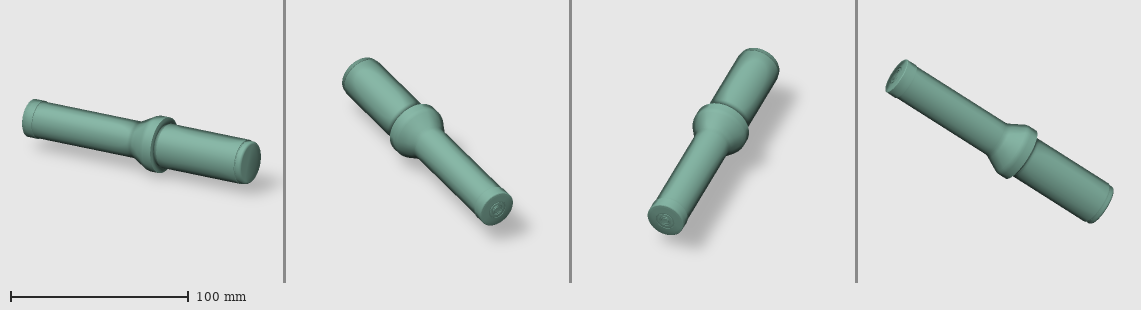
import cadquery as cq
import math

LENGTH = 143.0
RIM_START = 0.3
RIM_END = 0.5
HEAD_SIDE_START = 0.7
HEAD_LENGTH = 6.9
FLARE_START = 69.0
FLANGE_START = 82.2
FLANGE_END = 86.8
NECK_CONE_START = 87.1
NECK_CONE_END = 88.0
BARREL_START = 88.8
BARREL_END = 139.1
END_GROOVE_START = 139.6
END_GROOVE_END = 140.0
END_ROUND = 1.3

RIM_INNER_DIAMETER = 18.7
RIM_OUTER_DIAMETER = 21.0
HEAD_FRONT_DIAMETER = 21.7
HEAD_DIAMETER = 21.9
STEM_DIAMETER = 21.0
FLANGE_DIAMETER = 32.0
NECK_DIAMETER = 24.0
COLLAR_DIAMETER = 24.5
BARREL_DIAMETER = 25.5
END_GROOVE_DIAMETER = 24.2

FACE_GROOVES = [(11.2, 9.5), (6.9, 5.6), (4.7, 3.7)]
FACE_GROOVE_FLOOR = 0.5
DIMPLE_DIAMETER = 3.5
DIMPLE_DEPTH = 0.1

FLARE_ANGLE = math.radians(27.5)
flare_length = FLANGE_START - FLARE_START
flare_rise = (FLANGE_DIAMETER - STEM_DIAMETER) / 2
blend_radius = (flare_length - flare_rise / math.tan(FLARE_ANGLE)) / (2 * math.tan(FLARE_ANGLE / 2))


def revolve_about_x(outline):
    """Close a half section drawn in the XY plane and turn it about the X axis."""
    return outline.close().revolve(360, (0, 0, 0), (1, 0, 0))


def blend_offset(angle):
    """Axial and radial travel along a blend arc after turning through an angle."""
    return blend_radius * math.sin(angle), blend_radius * (1 - math.cos(angle))


def make_face_groove(outer_diameter, inner_diameter):
    """Ring cutter that opens at the front face."""
    ring = cq.Workplane("YZ").circle(outer_diameter / 2).circle(inner_diameter / 2)
    return ring.extrude(FACE_GROOVE_FLOOR)


def make_head():
    """Tapered tip with a domed, ring-grooved face."""
    rim_radius = RIM_INNER_DIAMETER / 2
    dome_radius = (rim_radius**2 + RIM_START**2) / (2 * RIM_START)
    middle_y = rim_radius / 2
    middle_x = dome_radius - math.sqrt(dome_radius**2 - middle_y**2)
    head = revolve_about_x(
        cq.Workplane("XY")
        .moveTo(0, 0)
        .threePointArc((middle_x, middle_y), (RIM_START, rim_radius))
        .lineTo(RIM_END, RIM_OUTER_DIAMETER / 2)
        .lineTo(HEAD_SIDE_START, HEAD_FRONT_DIAMETER / 2)
        .lineTo(HEAD_LENGTH, HEAD_DIAMETER / 2)
        .lineTo(HEAD_LENGTH, 0)
    )
    for outer_diameter, inner_diameter in FACE_GROOVES:
        head = head.cut(make_face_groove(outer_diameter, inner_diameter))
    dimple = cq.Solid.makeCone(DIMPLE_DIAMETER / 2, 0, DIMPLE_DEPTH, cq.Vector(0, 0, 0), cq.Vector(1, 0, 0))
    return head.cut(dimple)


def make_shank():
    """Stem, flared flange, barrel and end collar as one turned piece."""
    stem_radius = STEM_DIAMETER / 2
    flange_radius = FLANGE_DIAMETER / 2
    neck_radius = NECK_DIAMETER / 2
    collar_radius = COLLAR_DIAMETER / 2
    barrel_radius = BARREL_DIAMETER / 2
    groove_radius = END_GROOVE_DIAMETER / 2
    middle_x, middle_y = blend_offset(FLARE_ANGLE / 2)
    end_x, end_y = blend_offset(FLARE_ANGLE)
    round_inset = END_ROUND * (1 - math.sqrt(0.5))
    return revolve_about_x(
        cq.Workplane("XY")
        .moveTo(HEAD_LENGTH, 0)
        .lineTo(HEAD_LENGTH, stem_radius)
        .lineTo(FLARE_START, stem_radius)
        .threePointArc((FLARE_START + middle_x, stem_radius + middle_y), (FLARE_START + end_x, stem_radius + end_y))
        .lineTo(FLANGE_START - end_x, flange_radius - end_y)
        .threePointArc((FLANGE_START - middle_x, flange_radius - middle_y), (FLANGE_START, flange_radius))
        .lineTo(FLANGE_END, flange_radius)
        .lineTo(FLANGE_END, neck_radius)
        .lineTo(NECK_CONE_START, neck_radius)
        .lineTo(NECK_CONE_END, collar_radius)
        .lineTo(BARREL_START, collar_radius)
        .lineTo(BARREL_START, barrel_radius)
        .lineTo(BARREL_END, barrel_radius)
        .lineTo(BARREL_END, collar_radius)
        .lineTo(END_GROOVE_START, collar_radius)
        .lineTo(END_GROOVE_START, groove_radius)
        .lineTo(END_GROOVE_END, groove_radius)
        .lineTo(END_GROOVE_END, collar_radius)
        .lineTo(LENGTH - END_ROUND, collar_radius)
        .threePointArc((LENGTH - round_inset, collar_radius - round_inset), (LENGTH, collar_radius - END_ROUND))
        .lineTo(LENGTH, 0)
    )


head = make_head()
shank = make_shank()

result = cq.Compound.makeCompound([head.val(), shank.val()])